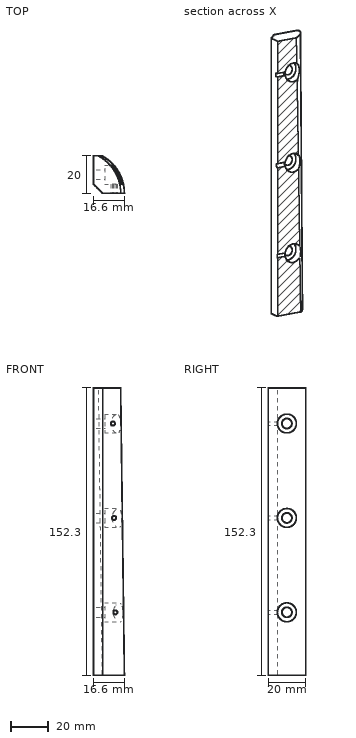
import cadquery as cq
import math

length = 152.32
base_width = 16.56
depth = 20.0
corner_chamfer = 5.0

round_radius = 22.7
lean_angle = math.radians(0.75)

first_station = 33.4
station_pitch = 50.0
station_count = 3
station_heights = [first_station + i * station_pitch for i in range(station_count)]

screw_diameter = 5.2
screw_head_diameter = 10.0
screw_y = depth / 2
screw_seat_thickness = 6.0

pilot_diameter = 2.1
pilot_edge_distance = 4.4


def side_x(z):
    """X of the outermost line of the rounded side at height z."""
    return base_width - z * math.tan(lean_angle)


def make_blank():
    """Block with one chamfered corner, trimmed by the leaning cylinder."""
    block = (
        cq.Workplane("XY")
        .box(base_width, depth, length, centered=False)
        .edges("|Z and <X and <Y")
        .chamfer(corner_chamfer)
    )
    axis = cq.Vector(-math.sin(lean_angle), 0, math.cos(lean_angle))
    base_centre = cq.Vector(base_width - round_radius / math.cos(lean_angle), 0, 0)
    overrun = round_radius
    cylinder = cq.Solid.makeCylinder(
        round_radius,
        length + 2 * overrun,
        base_centre - axis * overrun,
        axis,
    )
    return block.intersect(cq.Workplane(obj=cylinder))


def cylinder_along(direction, diameter, start, reach):
    """Cylinder of length reach from a start point along a unit direction."""
    solid = cq.Solid.makeCylinder(diameter / 2, reach, cq.Vector(*start), cq.Vector(*direction))
    return cq.Workplane(obj=solid)


def cut_screw_hole(body, z):
    """Through hole along X with a head counterbore open to the rounded side."""
    along_x = (1, 0, 0)
    hole = cylinder_along(along_x, screw_diameter, (0, screw_y, z), base_width)
    head = cylinder_along(
        along_x, screw_head_diameter, (screw_seat_thickness, screw_y, z), base_width
    )
    return body.cut(hole).cut(head)


def cut_pilot_hole(body, z):
    """Through hole along Y from the flat front face."""
    pilot_x = side_x(z) - pilot_edge_distance
    return body.cut(cylinder_along((0, 1, 0), pilot_diameter, (pilot_x, 0, z), depth))


body = make_blank()
for height in station_heights:
    body = cut_screw_hole(body, height)
    body = cut_pilot_hole(body, height)

result = body